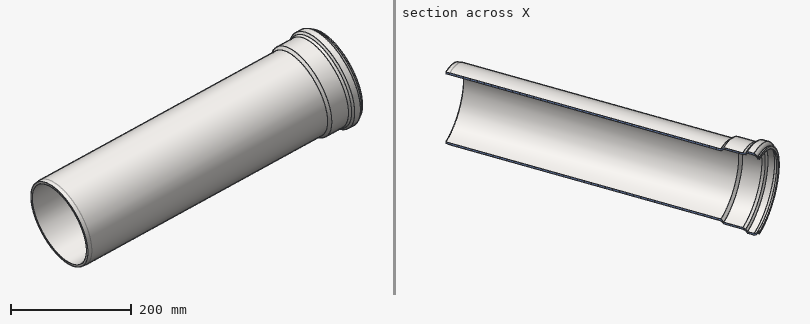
import cadquery as cq

length = 565.0
pipe_radius = 160.5 / 2
bore_radius = 149.5 / 2
socket_radius = 170.0 / 2
socket_bore_radius = 160.5 / 2
bead_radius = 182.0 / 2
bead_foot_radius = 174.0 / 2
socket_wall = socket_radius - socket_bore_radius

chamfer_length = 7.5
chamfer_depth = 1.0

lip_depth = 3.0
bead_front_depth = 9.0
bead_back_depth = 21.0
bead_foot_depth = 24.5
bead_end_depth = 29.5
shoulder_front_depth = 64.0
shoulder_back_depth = 69.0

bead_front_bulge = 0.85

spigot_end = -length / 2
mouth = length / 2


def revolve_profile(profile):
    """Turn a closed radius/axial outline around the pipe axis."""
    return profile.close().revolve(360, (0, 0, 0), (0, 1, 0))


def socket_outline(profile, wall_offset, small_radius):
    """Continue an outline from the shoulder to the mouth, set inward by the wall."""
    crest = bead_radius - wall_offset
    foot = bead_foot_radius - wall_offset
    socket = socket_radius - wall_offset
    return (
        profile.lineTo(small_radius, mouth - shoulder_back_depth)
        .lineTo(socket, mouth - shoulder_front_depth)
        .lineTo(socket, mouth - bead_end_depth)
        .lineTo(foot, mouth - bead_foot_depth)
        .lineTo(crest, mouth - bead_back_depth)
        .lineTo(crest, mouth - bead_front_depth)
        .sagittaArc((socket, mouth - lip_depth), -bead_front_bulge)
        .lineTo(socket, mouth)
        .lineTo(0, mouth)
    )


outer_profile = (
    cq.Workplane("XY")
    .moveTo(0, spigot_end)
    .lineTo(pipe_radius - chamfer_depth, spigot_end)
    .lineTo(pipe_radius, spigot_end + chamfer_length)
)
outer = revolve_profile(socket_outline(outer_profile, 0, pipe_radius))

bore_profile = cq.Workplane("XY").moveTo(0, spigot_end).lineTo(bore_radius, spigot_end)
bore = revolve_profile(socket_outline(bore_profile, socket_wall, bore_radius))

result = outer.cut(bore)